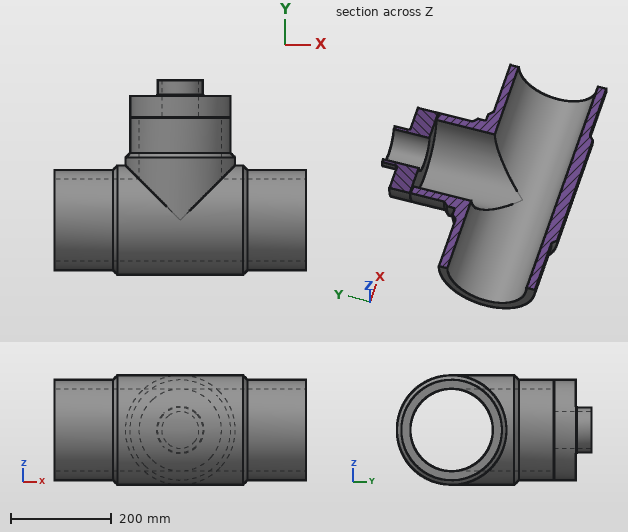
import cadquery as cq

pipe_diameter = 200.0
pipe_bore = 163.5
stub_diameter = 90.0
stub_bore = 73.5

run_length = 500.0
sleeve_diameter = 218.0
sleeve_reach = 133.5
sleeve_chamfer = (sleeve_diameter - pipe_diameter) / 2

branch_end = 203.0
cap_gap = 1.0
cap_start = branch_end + cap_gap
cap_end = 247.0
stub_end = 387.5 - sleeve_diameter / 2

stub_foot_diameter = 94.0
stub_foot_height = 2.5


def cylinder_along_y(diameter, start, end):
    """Cylinder on the branch axis between two distances from the run axis."""
    return cq.Workplane("XZ", origin=(0, start, 0)).circle(diameter / 2).extrude(start - end)


def pipe_arm(arm_length):
    """Solid pipe arm from the tee centre along +Y, with its chamfered sleeve."""
    pipe_radius = pipe_diameter / 2
    sleeve_radius = sleeve_diameter / 2
    return (
        cq.Workplane("XY")
        .lineTo(sleeve_radius, 0)
        .lineTo(sleeve_radius, sleeve_reach - sleeve_chamfer)
        .lineTo(pipe_radius, sleeve_reach)
        .lineTo(pipe_radius, arm_length)
        .lineTo(0, arm_length)
        .close()
        .revolve(360, (0, 0, 0), (0, 1, 0))
    )


def make_tee():
    """Equal tee: two run arms along X, one branch arm along +Y, all bored through."""
    tee = pipe_arm(branch_end)
    run_bore = cq.Workplane("YZ").circle(pipe_bore / 2).extrude(run_length / 2, both=True)
    for angle in (90, -90):
        run_arm = pipe_arm(run_length / 2).rotate((0, 0, 0), (0, 0, 1), angle)
        tee = tee.union(run_arm)
    branch_bore = cylinder_along_y(pipe_bore, 0, branch_end)
    return tee.cut(run_bore).cut(branch_bore).solids()


def make_reducing_cap():
    """Disc facing the end of the branch, carrying a small pipe stub and its through bore."""
    disc = cylinder_along_y(pipe_diameter, cap_start, cap_end)
    stub = cylinder_along_y(stub_diameter, cap_end, stub_end)
    foot = (
        cq.Workplane("XY")
        .moveTo(0, cap_end)
        .lineTo(stub_foot_diameter / 2, cap_end)
        .lineTo(stub_diameter / 2, cap_end + stub_foot_height)
        .lineTo(0, cap_end + stub_foot_height)
        .close()
        .revolve(360, (0, 0, 0), (0, 1, 0))
    )
    bore = cylinder_along_y(stub_bore, cap_start, stub_end)
    return disc.union(stub).union(foot).cut(bore).solids()


tee = make_tee()
reducing_cap = make_reducing_cap()

result = cq.Compound.makeCompound([tee.val(), reducing_cap.val()])